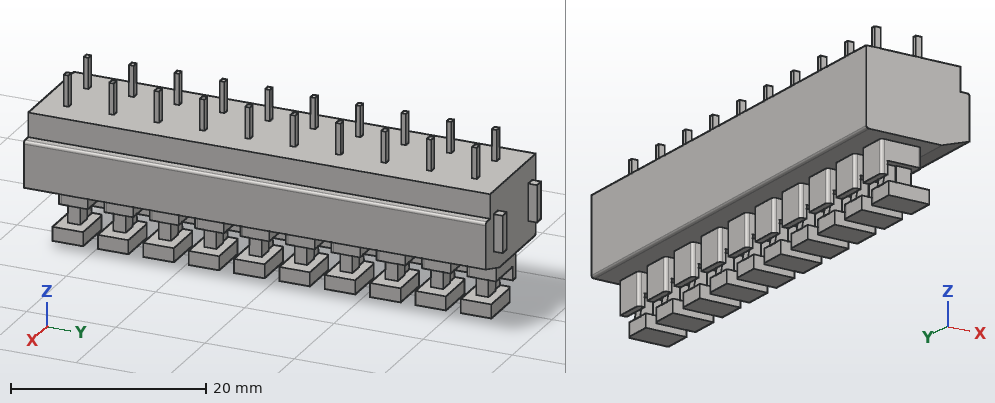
import cadquery as cq


overall_length = 52.8
overall_width = 12.6
overall_height = 18.7

position_count = 10
first_position_y = 2.9
position_span = 45.8
position_pitch = position_span / (position_count - 1)

peg_length = 1.0
peg_width = 1.05
peg_height = 4.15
peg_bottom = 2.3
peg_centres_x = (1.4, 10.1)

housing_length = overall_length - peg_length
housing_height = 9.1
housing_top_width = 11.5
ledge_drop = 2.75
bevel_start_x = 9.2
bevel_rise = 1.1
housing_fillet = 0.3

pin_width = 0.75
pin_thickness = 0.55
pin_height = 3.5
pin_centres_x = (3.1, 8.15)

sleeve_start_x = 2.9
sleeve_width = 4.95
sleeve_depth = 3.8
sleeve_height = 2.25
sleeve_length = 3.4
sleeve_centre_y = 0.5
finger_width = 0.8
key_fillet = 0.35

key_drop = overall_height - housing_height - pin_height
foot_start_x = 3.7
foot_width = 4.95
foot_thickness = 1.6
foot_length = 3.45
foot_centre_y = 0.25
foot_top = foot_thickness - key_drop

stem_start_x = 5.3
stem_width = 1.8
stem_length = 1.35
rib_length = 1.05
rib_top_x = 4.15
rib_bottom_x = 3.75


def block(x, y, z, width, length, height):
    """Box given by its lowest corner and its sizes along X, Y and Z."""
    return cq.Workplane("XY").box(width, length, height, centered=False).translate((x, y, z))


def extrude_along_y(points, start_y, length):
    """Prism with an XZ outline, running from start_y toward +Y."""
    return cq.Workplane("XZ", origin=(0, start_y, 0)).polyline(points).close().extrude(-length)


def make_housing():
    ledge_z = housing_height - ledge_drop
    outline = [
        (0, 0),
        (0, housing_height),
        (housing_top_width, housing_height),
        (housing_top_width, ledge_z),
        (overall_width, ledge_z),
        (overall_width, bevel_rise),
        (bevel_start_x, 0),
    ]
    housing = extrude_along_y(outline, 0, housing_length)
    ledge_edge = cq.selectors.NearestToPointSelector((overall_width, housing_length / 2, ledge_z))
    pin_side_edge = cq.selectors.NearestToPointSelector((0, housing_length / 2, 0))
    return housing.edges(ledge_edge).fillet(housing_fillet).edges(pin_side_edge).fillet(housing_fillet)


def make_peg(centre_x):
    """Locating peg on the far end of the housing."""
    return block(centre_x - peg_width / 2, housing_length, peg_bottom, peg_width, peg_length, peg_height)


def make_pin(centre_x, y):
    start_x = centre_x - pin_width / 2
    return block(start_x, y - pin_thickness / 2, housing_height, pin_width, pin_thickness, pin_height)


def make_sleeve(y):
    """Guide sleeve with rounded near corners and a finger reaching down along its -X side."""
    start_y = y + sleeve_centre_y - sleeve_length / 2
    finger_end_x = sleeve_start_x + finger_width
    sleeve_end_x = sleeve_start_x + sleeve_width
    outline = [
        (sleeve_start_x, 0),
        (sleeve_end_x, 0),
        (sleeve_end_x, -sleeve_height),
        (finger_end_x, -sleeve_height),
        (finger_end_x, -sleeve_depth),
        (sleeve_start_x, -sleeve_depth),
    ]
    sleeve = extrude_along_y(outline, start_y, sleeve_length)
    near_corners = sleeve.faces("<Y").edges("|Z").edges("<X or >X")
    return near_corners.fillet(key_fillet)


def make_key(y):
    """Foot hung from the sleeve by a stem, with a tapered rib on the -X side of the stem."""
    centre_y = y + foot_centre_y
    foot = block(foot_start_x, centre_y - foot_length / 2, -key_drop, foot_width, foot_length, foot_thickness)
    foot = foot.edges("|Z").edges("<X").edges(">Y").fillet(key_fillet)
    stem_height = -sleeve_height - foot_top
    stem = block(stem_start_x, centre_y - stem_length / 2, foot_top, stem_width, stem_length, stem_height)
    rib_outline = [
        (rib_bottom_x, foot_top),
        (rib_top_x, -sleeve_height),
        (stem_start_x, -sleeve_height),
        (stem_start_x, foot_top),
    ]
    rib = extrude_along_y(rib_outline, centre_y - rib_length / 2, rib_length)
    return foot.union(stem).union(rib)


result = make_housing()

for peg_x in peg_centres_x:
    result = result.union(make_peg(peg_x))

for index in range(position_count):
    position_y = first_position_y + index * position_pitch
    for pin_x in pin_centres_x:
        result = result.union(make_pin(pin_x, position_y))
    result = result.union(make_sleeve(position_y)).union(make_key(position_y))